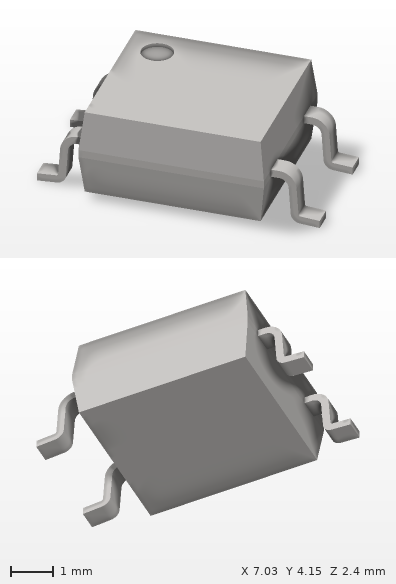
import cadquery as cq
import math

overall_length = 7.03
overall_height = 2.4

housing_length = 4.61
housing_width = 4.15
standoff = 0.2
taper_inset = 0.12
lead_thickness = 0.2
band_height = lead_thickness
half_height = (overall_height - standoff - band_height) / 2
band_bottom = standoff + half_height
band_top = band_bottom + band_height

mark_radius = 0.4
mark_depth = 0.1
mark_x = -1.385
mark_y = 1.16

lead_width = 0.5
lead_pitch = 2.54
lead_tilt = 4.0
knee_setback = 0.605
knee_inner_radius = 0.245
ankle_inner_radius = 0.05


def make_tapered_half(face_z, height):
    """Frustum from the waist section at face_z; a negative height points down."""
    return (
        cq.Workplane("XY", origin=(0, 0, face_z))
        .rect(housing_length, housing_width)
        .workplane(offset=height)
        .rect(housing_length - 2 * taper_inset, housing_width - 2 * taper_inset)
        .loft(ruled=True)
    )


def make_housing():
    band = (
        cq.Workplane("XY", origin=(0, 0, band_bottom))
        .rect(housing_length, housing_width)
        .extrude(band_height)
    )
    upper_half = make_tapered_half(band_top, half_height)
    lower_half = make_tapered_half(band_bottom, -half_height)
    mark = (
        cq.Workplane("XY", origin=(mark_x, mark_y, overall_height))
        .circle(mark_radius)
        .extrude(-mark_depth)
    )
    return band.union(upper_half).union(lower_half).cut(mark).solids()


def ankle_corner(knee, tip):
    """Point where the leg line down from knee meets the foot line from tip."""
    slope = math.tan(math.radians(lead_tilt))
    knee_x, knee_z = knee
    tip_x, tip_z = tip
    x = (knee_x - slope * (knee_z - tip_z + slope * tip_x)) / (1 - slope**2)
    return x, tip_z + slope * (x - tip_x)


def make_left_lead(center_y):
    """Bent strip from the left end of the housing down to its foot."""
    tilted_thickness = lead_thickness / math.cos(math.radians(lead_tilt))
    slope = math.tan(math.radians(lead_tilt))
    tip_x = -overall_length / 2
    foot_bottom = (tip_x, 0)
    foot_top = (tip_x, tilted_thickness)
    outer_knee = (tip_x + knee_setback, band_top)
    inner_knee_x = outer_knee[0] + tilted_thickness - slope * lead_thickness
    inner_knee = (inner_knee_x, band_bottom)
    inner_ankle = ankle_corner(outer_knee, foot_top)
    outer_ankle = ankle_corner(inner_knee, foot_bottom)

    strip = (
        cq.Workplane("XZ", origin=(0, center_y + lead_width / 2, 0))
        .moveTo(-housing_length / 2, band_top)
        .lineTo(*outer_knee)
        .lineTo(*inner_ankle)
        .lineTo(*foot_top)
        .lineTo(*foot_bottom)
        .lineTo(*outer_ankle)
        .lineTo(*inner_knee)
        .lineTo(-housing_length / 2, band_bottom)
        .close()
        .extrude(lead_width)
    )
    bends = [
        (outer_knee, knee_inner_radius + lead_thickness),
        (inner_knee, knee_inner_radius),
        (inner_ankle, ankle_inner_radius),
        (outer_ankle, ankle_inner_radius + lead_thickness),
    ]
    for (x, z), radius in bends:
        corner = cq.selectors.NearestToPointSelector((x, center_y, z))
        strip = strip.edges("|Y").edges(corner).fillet(radius)
    return strip.solids()


def make_leads():
    leads = []
    for center_y in (-lead_pitch / 2, lead_pitch / 2):
        left_lead = make_left_lead(center_y)
        leads.append(left_lead.val())
        leads.append(left_lead.val().mirror("YZ"))
    return leads


housing = make_housing()
leads = make_leads()
result = cq.Compound.makeCompound([housing.val(), *leads])